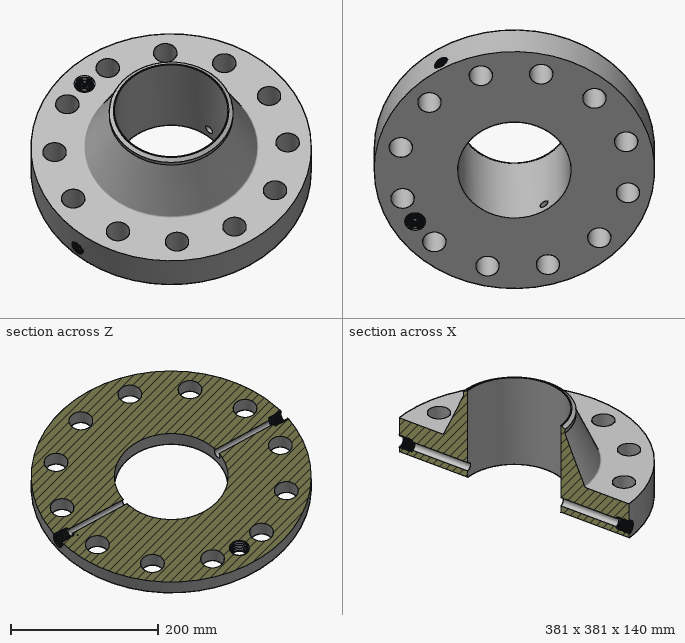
import cadquery as cq
import math

flange_diameter = 381.0
flange_thickness = 55.2
total_height = 140.0
flange_radius = flange_diameter / 2

hub_base_radius = 117.7
hub_fillet_radius = 2.5
neck_radius = 84.2
bore_radius = 77.0
lip_land = 1.5
bevel_height = 3.5
lip_height = 9.5

bolt_count = 12
bolt_circle_radius = 158.5
bolt_hole_diameter = 31.5

jack_major_diameter = 28.2
jack_minor_diameter = 24.5
jack_pitch = 3.62

tap_height = 17.0
tap_hole_diameter = 12.5
tap_major_diameter = 21.0
tap_minor_diameter = 17.0
tap_pitch = 1.83
tap_thread_depth = 21.0
tap_thread_taper = 1 / 16
tap_drill_point_angle = 118


def weld_neck_body():
    """Revolve the flange, neck and bore, then round the foot of the neck."""
    profile = [
        (bore_radius, 0),
        (flange_radius, 0),
        (flange_radius, flange_thickness),
        (hub_base_radius, flange_thickness),
        (neck_radius, total_height - lip_height),
        (neck_radius, total_height - bevel_height),
        (bore_radius + lip_land, total_height),
        (bore_radius, total_height),
    ]
    body = cq.Workplane("XZ").polyline(profile).close().revolve(360, (0, 0, 0), (0, 1, 0))
    margin = 0.5
    foot_of_neck = cq.selectors.BoxSelector(
        (-hub_base_radius - margin, -hub_base_radius - margin, flange_thickness - margin),
        (hub_base_radius + margin, hub_base_radius + margin, flange_thickness + margin),
        boundingbox=True,
    )
    return body.edges(foot_of_neck).fillet(hub_fillet_radius)


def thread_cutter(major_diameter, minor_diameter, pitch, length, taper=0):
    """Stack of ring-shaped V grooves along +Z from the origin, at least `length` long.

    `taper` is the loss of diameter per unit of depth.
    """
    half_pitches = 2 * math.ceil(length / pitch)
    outline = [(0, 0)]
    for step in range(half_pitches + 1):
        depth = step * pitch / 2
        diameter = major_diameter if step % 2 == 0 else minor_diameter
        outline.append(((diameter - taper * depth) / 2, depth))
    outline.append((0, depth))
    return cq.Workplane("XZ").polyline(outline).close().revolve(360, (0, 0, 0), (0, 1, 0))


def bolt_holes():
    half_spacing = 180 / bolt_count
    return (
        cq.Workplane("XY")
        .polarArray(bolt_circle_radius, half_spacing, 360, bolt_count)
        .circle(bolt_hole_diameter / 2)
        .extrude(flange_thickness)
    )


def jack_screw_hole():
    cutter = thread_cutter(jack_major_diameter, jack_minor_diameter, jack_pitch, flange_thickness)
    from_top = cutter.rotate((0, 0, 0), (1, 0, 0), 180)
    return from_top.translate((-bolt_circle_radius, 0, flange_thickness))


def pressure_tap():
    """Tapered threaded port in the -Y rim, with a drill-point floor and a plain hole on into the bore."""
    thread = thread_cutter(
        tap_major_diameter, tap_minor_diameter, tap_pitch, tap_thread_depth, tap_thread_taper
    )
    floor_radius = (tap_minor_diameter - tap_thread_taper * tap_thread_depth) / 2
    point_depth = floor_radius / math.tan(math.radians(tap_drill_point_angle / 2))
    pilot = (
        cq.Workplane("XZ")
        .polyline([
            (0, 0),
            (floor_radius, 0),
            (floor_radius, tap_thread_depth),
            (0, tap_thread_depth + point_depth),
        ])
        .close()
        .revolve(360, (0, 0, 0), (0, 1, 0))
    )
    drill = cq.Workplane("XY").circle(tap_hole_diameter / 2).extrude(flange_radius)
    inward = thread.union(pilot).union(drill).rotate((0, 0, 0), (1, 0, 0), -90)
    return inward.translate((0, -flange_radius, tap_height))


near_tap = pressure_tap()
far_tap = near_tap.mirror("XZ")

result = weld_neck_body().cut(bolt_holes()).cut(jack_screw_hole()).cut(near_tap).cut(far_tap)